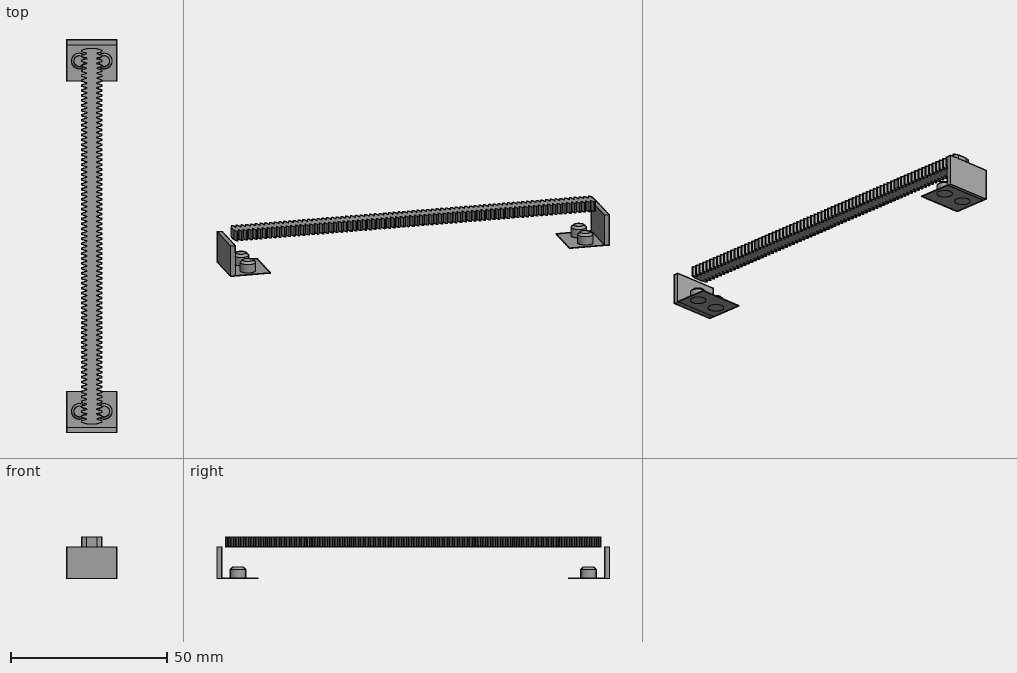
import cadquery as cq

overall_length = 125.6
overall_height = 13.4

rack_height = 3.2
rack_width = 6.5
rack_bottom = overall_height - rack_height
rack_length = 120.0
teeth_per_side = 76
tooth_pitch = rack_length / teeth_per_side
tooth_depth = 1.6
tooth_tip_width = 0.46
tooth_gap_width = 0.16

bracket_width = 16.0
bracket_length = 13.2
base_thickness = 0.2
wall_thickness = 1.6
wall_height = rack_bottom

peg_diameter = 5.0
peg_spacing = 8.0
peg_height = 3.6
peg_chamfer = 0.8
peg_from_outer_face = 6.8


def tooth_points(center_y, side, direction):
    """Four corners of one tooth on the given X side, met while moving along Y in the given direction."""
    root_x = side * (rack_width / 2 - tooth_depth)
    tip_x = side * rack_width / 2
    half_root = direction * (tooth_pitch - tooth_gap_width) / 2
    half_tip = direction * tooth_tip_width / 2
    return [
        (root_x, center_y - half_root),
        (tip_x, center_y - half_tip),
        (tip_x, center_y + half_tip),
        (root_x, center_y + half_root),
    ]


def make_rack():
    """Bar with trapezoidal teeth along both long sides; each end face falls in the middle of a tooth gap."""
    root_half_width = rack_width / 2 - tooth_depth
    half_length = rack_length / 2
    centers = [-half_length + (i + 0.5) * tooth_pitch for i in range(teeth_per_side)]

    outline = [(-root_half_width, -half_length), (root_half_width, -half_length)]
    for center_y in centers:
        outline += tooth_points(center_y, side=1, direction=1)
    outline += [(root_half_width, half_length), (-root_half_width, half_length)]
    for center_y in reversed(centers):
        outline += tooth_points(center_y, side=-1, direction=-1)

    return cq.Workplane("XY").workplane(offset=rack_bottom).polyline(outline).close().extrude(rack_height)


def make_bracket(end):
    """L-shaped bracket with two chamfered pegs; end is -1 for the -Y end and +1 for the +Y end."""
    outer_y = end * overall_length / 2

    base = (
        cq.Workplane("XY")
        .center(0, outer_y - end * bracket_length / 2)
        .rect(bracket_width, bracket_length)
        .extrude(base_thickness)
    )
    wall = (
        cq.Workplane("XY")
        .center(0, outer_y - end * wall_thickness / 2)
        .rect(bracket_width, wall_thickness)
        .extrude(wall_height)
    )
    pegs = (
        cq.Workplane("XY")
        .center(0, outer_y - end * peg_from_outer_face)
        .pushPoints([(-peg_spacing / 2, 0), (peg_spacing / 2, 0)])
        .circle(peg_diameter / 2)
        .extrude(base_thickness + peg_height)
        .faces(">Z")
        .edges()
        .chamfer(peg_chamfer)
    )
    return base.union(wall).union(pegs)


rack = make_rack()
brackets = [make_bracket(end) for end in (-1, 1)]

result = cq.Compound.makeCompound([rack.val(), *[bracket.val() for bracket in brackets]])